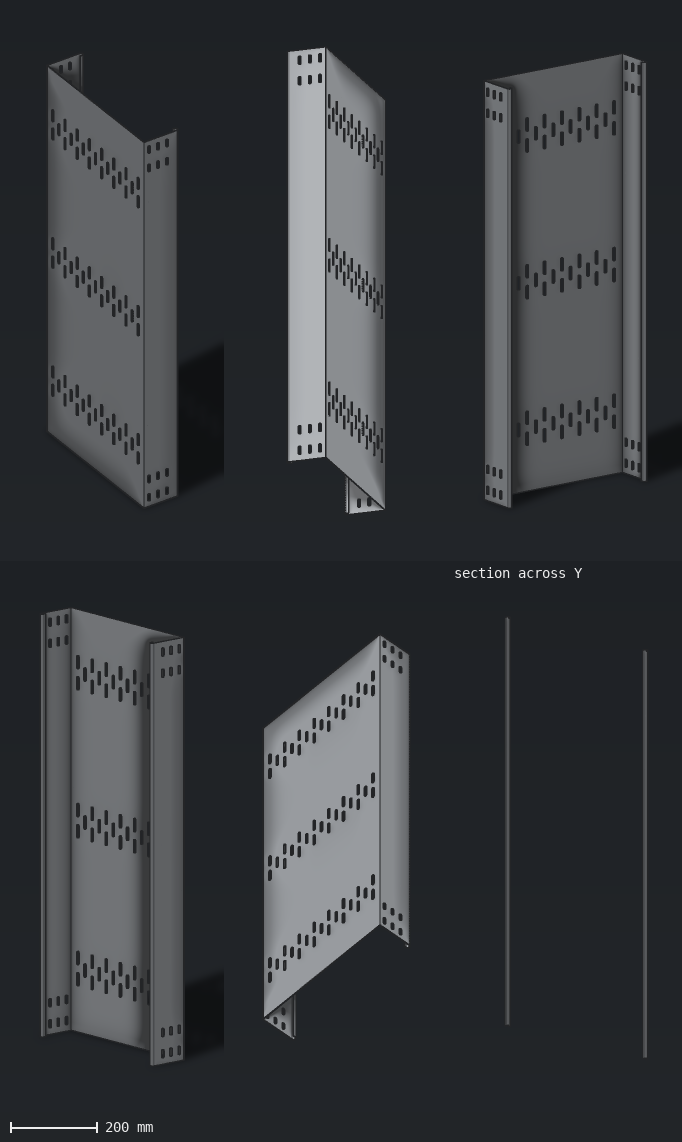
import cadquery as cq

width = 400.0
height = 98.0
length = 1000.0
thickness = 2.0

lip_radius = 6.0
lip_leg = 5.0

slot_width = 7.0
slot_pitch = 50.0
floor_slot_length = 32.0
floor_group_spacing = 350.0
floor_row_offset = slot_pitch / 2
outer_row_count = 8
middle_row_count = outer_row_count - 1

flange_slot_length = 20.0
flange_slot_count = 3
flange_slot_pitch = 25.0
first_flange_slot_y = 15.0
end_slot_inset = 25.0


def build_floor():
    return cq.Workplane("XY").box(width, thickness, length, centered=(True, False, True))


def build_left_flange():
    """Flange on the -X side, with its edge curled inward and back down."""
    outer_x = -width / 2
    inner_x = outer_x + thickness
    lip_center_x = outer_x + lip_radius
    lip_outer_x = outer_x + 2 * lip_radius
    lip_inner_x = lip_outer_x - thickness
    curl_y = height - lip_radius
    tip_y = curl_y - lip_leg
    return (
        cq.Workplane("XY", origin=(0, 0, -length / 2))
        .moveTo(outer_x, 0)
        .lineTo(outer_x, curl_y)
        .threePointArc((lip_center_x, height), (lip_outer_x, curl_y))
        .lineTo(lip_outer_x, tip_y)
        .lineTo(lip_inner_x, tip_y)
        .lineTo(lip_inner_x, curl_y)
        .threePointArc((lip_center_x, height - thickness), (inner_x, curl_y))
        .lineTo(inner_x, 0)
        .close()
        .extrude(length)
    )


def centered_row(count, z):
    """Evenly spaced (x, z) slot centres, symmetric about X = 0."""
    return [((i - (count - 1) / 2) * slot_pitch, z) for i in range(count)]


def floor_slots():
    """Three groups of slots, each with a middle row staggered between two outer rows."""
    centers = []
    for group_z in (-floor_group_spacing, 0, floor_group_spacing):
        centers += centered_row(outer_row_count, group_z - floor_row_offset)
        centers += centered_row(middle_row_count, group_z)
        centers += centered_row(outer_row_count, group_z + floor_row_offset)
    return (
        cq.Workplane("XZ")
        .pushPoints(centers)
        .slot2D(floor_slot_length, slot_width, 90)
        .extrude(thickness, both=True)
    )


def flange_slots():
    """Two rows of slots near each end, cut through both flanges."""
    first_row_z = length / 2 - end_slot_inset
    second_row_z = first_row_z - slot_pitch
    centers = [
        (first_flange_slot_y + i * flange_slot_pitch, z)
        for i in range(flange_slot_count)
        for z in (first_row_z, second_row_z, -second_row_z, -first_row_z)
    ]
    return (
        cq.Workplane("YZ")
        .pushPoints(centers)
        .slot2D(flange_slot_length, slot_width, 90)
        .extrude(width, both=True)
    )


left_flange = build_left_flange()
channel = build_floor().union(left_flange).union(left_flange.mirror("YZ"))
result = channel.cut(floor_slots()).cut(flange_slots())